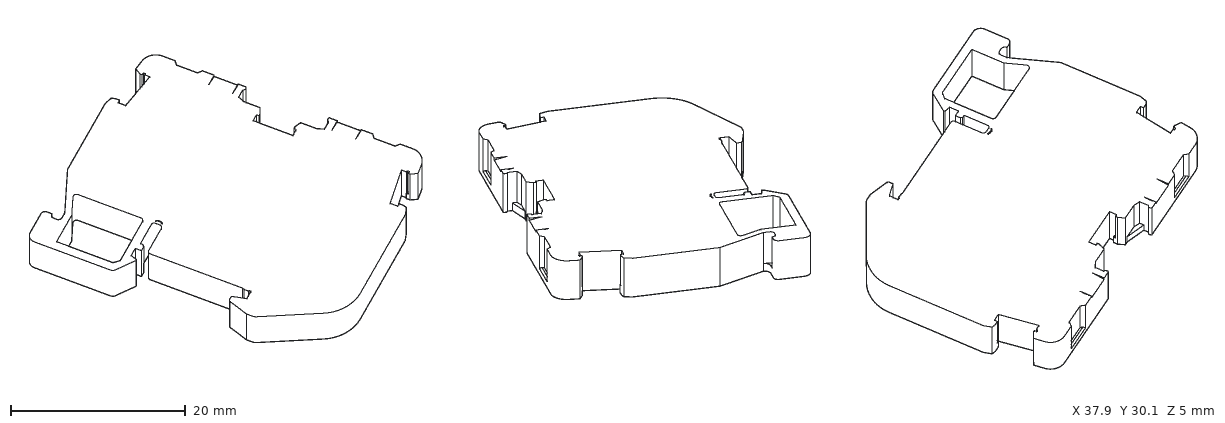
import cadquery as cq
import math

thickness = 5.0
web_overlap = 0.2
web_thickness = 1.0
half_width = 18.9
split_y = -15.0
foot_left = -19.03
foot_bottom = -30.14
rail_seat_y = -26.15

notch_half_width = 2.5
notch_floor_y = -4.02
shoulder_y = -2.0
shoulder_start_x = 2.55
shoulder_end_x = 4.6
shoulder_lip_x = 2.2
shoulder_lip_y = -3.1
shoulder_lip_top_y = -2.8
shoulder_lip_web_y = -3.37
hook_x = 5.4
hook_foot_y = -1.68
hook_nose_base_y = -0.55
hook_nose = (5.17, -0.27)
hook_top_x = 5.25
hook_web_y = -1.13
hook_web_start_x = 3.0

clip_x = 16.75
clip_web_x = 16.5
clip_tip = (17.78, -2.95)
clip_flat_end = 17.0
clip_root_x = 15.85
clip_bottom_y = -3.42
clip_groove_y = -3.12
clip_gap_y = -3.3
lug_x = 17.6
lug_web_x = 17.25
lug_web_draft = 0.1
lug_root_x = 16.65
lug_flat_end = 18.1
lug_corner = (18.6, -7.9)
lug_wall_top = -8.9
lug_gap_y = -8.15
lug_top_y = -7.75
corner_flat_end = 15.85
corner_middle = (17.12, -0.6)
corner_end = (17.61, -1.66)

foot_wall_x = -16.6
foot_wall_top = -24.95
foot_shelf_y = -25.65
foot_recess_y = -26.15
foot_recess_left = -17.9
foot_corner = 1.0
foot_arm_y = -19.2
shelf_corner = 0.55
recess_radius = 0.45
recess_entry_radius = 0.55
foot_recess_depth = foot_shelf_y - foot_recess_y
latch_x = -6.37
latch_gap_x = -7.15
latch_top_y = -25.3
latch_chamfer = 0.2
latch_draft = 0.2
latch_tip_height = 0.2
ramp_end = (-7.85, -29.75)
ramp_corner_middle = (-8.1, -30.03)
ramp_corner_end_x = -8.45

slot_left = -6.9
slot_right = -5.63
slot_end_y = -21.95
slot_radius_left = 0.3
slot_radius_right = 0.4
slot_x = (slot_left + slot_right) / 2
seat_corner = 0.35
seat_pad_left = 6.6
seat_pad_right = 7.15
seat_pad_ramp = 0.28
seat_pad_height = 0.1

toe_x = 9.3
toe_y = -29.3
slope_angle = 28.5
corner_radius = 5.0
toe_radius = 0.9
toe_flat_left = 8.3

rail_hook_y = -27.3
toe_gap_x = 7.42
toe_tip_x = 5.68
toe_tip_low_y = -28.47
toe_tip_high_y = -27.75
toe_tip_chamfer = 0.15

window_top = -21.95
window_bottom = -29.05
window_left = -15.73
window_right = -8.0
window_corner = 0.4
window_chamfer = 0.62
window_top_left = -16.9
window_bend_y = -24.9

label_notch_x = 12.45
label_notch_half_width = 1.72
label_notch_depth = 0.5
label_ledge_depth = 0.25
label_notch_taper = 0.4
label_slope_height = 0.2
bevel_inner_x = 6.25
bevel_outer_x = 9.25
bevel_length = 1.5
bevel_drop = 0.25

groove_half_width = 0.42
groove_y = -21.57
groove_rise = 0.13
groove_width = 0.1
groove_depth = 0.3


def polygon(points, bottom, top):
    return cq.Workplane("XY").workplane(offset=bottom).polyline(points).close().extrude(top - bottom)


def box(x0, x1, y0, y1, bottom, top):
    return polygon([(x0, y0), (x1, y0), (x1, y1), (x0, y1)], bottom, top)


def both_sides(shape):
    return shape.union(shape.mirror("YZ"))


def upper_half():
    """Right half of the upper body, down to the level where the two sides differ."""
    profile = (
        cq.Workplane("XY")
        .moveTo(0, split_y)
        .lineTo(0, notch_floor_y)
        .lineTo(notch_half_width, notch_floor_y)
        .lineTo(notch_half_width, shoulder_lip_y)
        .lineTo(shoulder_lip_x, shoulder_lip_y)
        .lineTo(shoulder_lip_x, shoulder_lip_top_y)
        .lineTo(shoulder_start_x, shoulder_y)
        .lineTo(shoulder_end_x, shoulder_y)
        .lineTo(hook_x, hook_foot_y)
        .lineTo(hook_x, hook_nose_base_y)
        .threePointArc(hook_nose, (hook_top_x, 0))
        .lineTo(corner_flat_end, 0)
        .threePointArc(corner_middle, corner_end)
        .lineTo(*clip_tip)
        .lineTo(clip_flat_end, clip_bottom_y)
        .lineTo(clip_x, clip_bottom_y)
        .lineTo(clip_x, clip_groove_y)
        .lineTo(clip_web_x, clip_groove_y)
        .lineTo(clip_web_x, clip_gap_y)
        .lineTo(clip_root_x, clip_gap_y)
        .lineTo(lug_root_x, lug_gap_y)
        .lineTo(lug_x, lug_gap_y)
        .lineTo(lug_x, lug_top_y)
        .lineTo(lug_flat_end, lug_top_y)
        .lineTo(*lug_corner)
        .lineTo(half_width, lug_wall_top)
        .lineTo(half_width, split_y)
        .close()
    )
    return profile.extrude(thickness)


def lower_body():
    """Lower body with the rounded corner, the fixed toe, the slot and the spring foot."""
    angle = math.radians(slope_angle)
    center_x = half_width - corner_radius
    wall_reach = half_width - toe_x
    tangent = corner_radius * math.tan((math.pi / 2 - angle) / 2)
    center_y = toe_y + wall_reach * math.tan(angle) + tangent
    toe_tangent = toe_radius * math.tan(angle / 2)
    middle = (math.pi / 2 - angle) / 2
    arc_middle = (
        center_x + corner_radius * math.cos(middle),
        center_y - corner_radius * math.sin(middle),
    )
    arc_end = (
        center_x + corner_radius * math.sin(angle),
        center_y - corner_radius * math.cos(angle),
    )
    profile = (
        cq.Workplane("XY")
        .moveTo(-half_width, split_y)
        .lineTo(half_width, split_y)
        .lineTo(half_width, center_y)
        .threePointArc(arc_middle, arc_end)
        .lineTo(toe_x + toe_tangent * math.cos(angle), toe_y + toe_tangent * math.sin(angle))
        .radiusArc((toe_x - toe_tangent, toe_y), toe_radius)
        .lineTo(toe_flat_left, toe_y)
        .lineTo(toe_tip_x + toe_tip_chamfer, toe_tip_low_y)
        .lineTo(toe_tip_x, toe_tip_low_y + toe_tip_chamfer)
        .lineTo(toe_tip_x, toe_tip_high_y)
        .lineTo(toe_gap_x, rail_hook_y)
        .lineTo(toe_gap_x, rail_seat_y)
        .lineTo(seat_pad_right, rail_seat_y)
        .lineTo(seat_pad_right, rail_seat_y - seat_pad_height)
        .lineTo(seat_pad_left, rail_seat_y - seat_pad_height)
        .lineTo(seat_pad_left - seat_pad_ramp, rail_seat_y)
        .lineTo(slot_right + seat_corner, rail_seat_y)
        .radiusArc((slot_right, rail_seat_y + seat_corner), seat_corner)
        .lineTo(slot_right, slot_end_y - slot_radius_right)
        .radiusArc((slot_right - slot_radius_right, slot_end_y), -slot_radius_right)
        .lineTo(slot_left + slot_radius_left, slot_end_y)
        .radiusArc((slot_left, slot_end_y - slot_radius_left), -slot_radius_left)
        .lineTo(slot_left, latch_top_y)
        .lineTo(latch_x - latch_chamfer, latch_top_y)
        .lineTo(latch_x, latch_top_y - latch_chamfer)
        .lineTo(latch_x, rail_seat_y)
        .lineTo(latch_gap_x, rail_seat_y)
        .lineTo(latch_gap_x, rail_hook_y)
        .lineTo(latch_x, rail_hook_y - latch_draft)
        .lineTo(latch_x, rail_hook_y - latch_draft - latch_tip_height)
        .lineTo(*ramp_end)
        .threePointArc(ramp_corner_middle, (ramp_corner_end_x, foot_bottom))
        .lineTo(foot_left + foot_corner, foot_bottom)
        .radiusArc((foot_left, foot_bottom + foot_corner), foot_corner)
        .lineTo(foot_left, foot_shelf_y - shelf_corner)
        .radiusArc((foot_left + shelf_corner, foot_shelf_y), shelf_corner)
        .lineTo(foot_recess_left, foot_shelf_y)
        .radiusArc((foot_recess_left + foot_recess_depth, foot_recess_y), -recess_entry_radius)
        .lineTo(foot_wall_x - recess_radius, foot_recess_y)
        .radiusArc((foot_wall_x, foot_recess_y + recess_radius), -recess_radius)
        .lineTo(foot_wall_x, foot_wall_top)
        .lineTo(-half_width, foot_arm_y)
        .close()
    )
    return profile.extrude(thickness)


def window():
    """Opening through the foot, with its two upper corners rounded."""
    profile = polygon(
        [
            (window_top_left, window_top),
            (window_right, window_top),
            (window_right, window_bottom + window_chamfer),
            (window_right - window_chamfer, window_bottom),
            (window_left, window_bottom),
            (window_left, window_bend_y),
        ],
        0,
        thickness,
    )
    return profile.edges("|Z and >Y").fillet(window_corner)


def foot_web():
    """Back layer that fills the recess beside the foot up to the shelf."""
    web_radius = foot_wall_top - foot_shelf_y
    return (
        cq.Workplane("XY")
        .moveTo(foot_recess_left, foot_shelf_y)
        .lineTo(foot_wall_x - web_radius, foot_shelf_y)
        .radiusArc((foot_wall_x, foot_shelf_y + web_radius), -web_radius)
        .lineTo(foot_wall_x + web_overlap, foot_shelf_y)
        .lineTo(foot_wall_x + web_overlap, foot_recess_y - web_overlap)
        .lineTo(foot_recess_left, foot_recess_y - web_overlap)
        .close()
        .extrude(web_thickness)
    )


def upper_webs():
    """Back layers beside the hooks and under the shoulder lips, the side clips and the lugs."""
    hook_web = polygon(
        [
            (hook_web_start_x, shoulder_y),
            (hook_x, hook_web_y),
            (hook_x + web_overlap, hook_web_y),
            (hook_x + web_overlap, shoulder_y - web_overlap),
            (hook_web_start_x, shoulder_y - web_overlap),
        ],
        0,
        web_thickness,
    )
    lip_web = box(
        shoulder_lip_x,
        notch_half_width + web_overlap,
        shoulder_lip_web_y,
        shoulder_lip_y + web_overlap,
        0,
        web_thickness,
    )
    clip_web = box(
        clip_web_x,
        clip_x + web_overlap,
        clip_bottom_y,
        clip_groove_y + web_overlap,
        0,
        web_thickness,
    )
    lug_web = polygon(
        [
            (lug_web_x, lug_gap_y),
            (lug_web_x + lug_web_draft, lug_top_y),
            (lug_x + web_overlap, lug_top_y),
            (lug_x + web_overlap, lug_gap_y),
        ],
        0,
        web_thickness,
    )
    return both_sides(hook_web.union(lip_web).union(clip_web).union(lug_web))


def label_notches():
    """Tapered notches in the upper edge; the back layer below them slopes down to the edge."""
    floor_half_width = label_notch_half_width - label_notch_taper
    trapezoid = [
        (label_notch_x - label_notch_half_width, 0),
        (label_notch_x + label_notch_half_width, 0),
        (label_notch_x + floor_half_width, -label_notch_depth),
        (label_notch_x - floor_half_width, -label_notch_depth),
    ]
    notch = polygon(trapezoid, web_thickness, thickness)
    slope = (
        cq.Workplane("YZ")
        .workplane(offset=label_notch_x - label_notch_half_width)
        .polyline(
            [
                (-label_ledge_depth, web_thickness),
                (0, web_thickness - label_slope_height),
                (0, web_thickness),
            ]
        )
        .close()
        .extrude(2 * label_notch_half_width)
        .intersect(polygon(trapezoid, 0, thickness))
    )
    return both_sides(notch.union(slope))


def edge_bevels():
    """Gentle bevels that lower the front face towards the upper edge."""
    bevel = (
        cq.Workplane("YZ")
        .workplane(offset=bevel_inner_x)
        .polyline([(-bevel_length, thickness), (0, thickness), (0, thickness - bevel_drop)])
        .close()
        .extrude(bevel_outer_x - bevel_inner_x)
    )
    return both_sides(bevel)


def arc_groove():
    """Shallow curved groove in the front face above the slot."""
    left = slot_x - groove_half_width
    right = slot_x + groove_half_width
    lower_y = groove_y - groove_width
    return (
        cq.Workplane("XY")
        .workplane(offset=thickness - groove_depth)
        .moveTo(left, groove_y)
        .threePointArc((slot_x, groove_y + groove_rise), (right, groove_y))
        .lineTo(right, lower_y)
        .threePointArc((slot_x, lower_y + groove_rise), (left, lower_y))
        .close()
        .extrude(groove_depth)
    )


result = (
    both_sides(upper_half())
    .union(lower_body())
    .union(foot_web())
    .union(upper_webs())
    .cut(window())
    .cut(label_notches())
    .cut(edge_bevels())
    .cut(arc_groove())
    .clean()
)